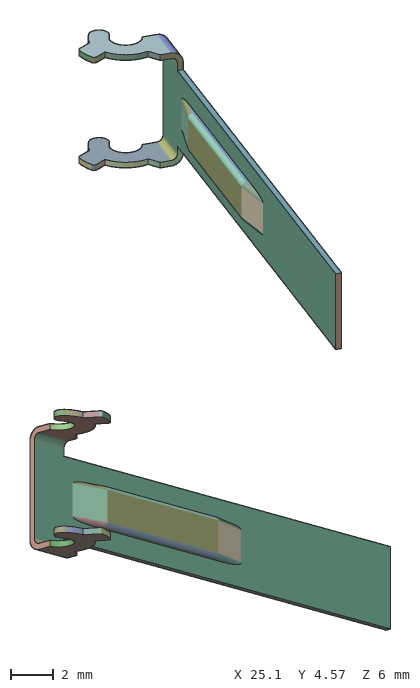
import cadquery as cq
import math

length = 25.1
height = 6.0
thickness = 0.3
bend_radius = 0.6
strip_height = 4.02
head_left = 1.38
head_right = 3.36

hook_x = 1.15
hook_y = -2.08
hook_inner = 0.78
hook_outer = 1.75
toe_reach = 2.54
toe_angle = math.radians(-58)
toe_left_offset = 1.0
toe_right_offset = 0.15
toe_round = 0.18
shoulder_y = -1.15
neck_angle = math.radians(17)

bead_left = 3.95
bead_right = 15.17
bead_ramp = 1.93
bead_rise = 0.38
bead_height = 2.03
bead_round = 0.23
bead_root = 0.03


def on_hook(radius, angle):
    """Point at a radius and angle around the hook centre."""
    return hook_x + radius * math.cos(angle), hook_y + radius * math.sin(angle)


def toe_side_angle(radius, offset):
    """Angle where a toe side, offset to the left of the centre, meets a circle."""
    return toe_angle - math.asin(offset / radius)


def make_head():
    """U-shaped section extruded across the head."""
    depth = -hook_y + toe_reach
    channel = (
        cq.Workplane("XY")
        .box(head_right - head_left, depth, height, centered=(False, False, True))
        .translate((head_left, -depth, 0))
        .edges("|X and >Y")
        .fillet(bend_radius)
    )
    cavity = (
        cq.Workplane("XY")
        .box(head_right - head_left, depth, height - 2 * thickness, centered=(False, False, True))
        .translate((head_left, -depth - thickness, 0))
        .edges("|X and >Y")
        .fillet(bend_radius - thickness)
    )
    bend_zone = cq.Workplane("XY").box(length, 2 * bend_radius, height)
    return channel.cut(cavity).intersect(bend_zone)


def make_ear(bottom):
    """One flat hooked ear, starting at the end of the bend."""
    tip_radius = (hook_outer - hook_inner) / 2
    band_radius = (hook_outer + hook_inner) / 2
    tip_angle = -math.acos((tip_radius - hook_x) / band_radius)
    tip_x, tip_y = on_hook(band_radius, tip_angle)
    tip_end = (tip_x + tip_radius * math.cos(tip_angle - math.pi / 2),
               tip_y + tip_radius * math.sin(tip_angle - math.pi / 2))

    mouth_angle = math.acos((head_left - hook_x) / hook_inner)
    toe_left_inner = toe_side_angle(hook_outer, toe_left_offset)
    toe_left_outer = toe_side_angle(toe_reach, toe_left_offset)
    toe_right_inner = toe_side_angle(hook_outer, -toe_right_offset)
    toe_right_outer = toe_side_angle(toe_reach, -toe_right_offset)

    ear = (
        cq.Workplane("XY", origin=(0, 0, bottom))
        .moveTo(head_left, -bend_radius)
        .lineTo(*on_hook(hook_inner, mouth_angle))
        .threePointArc(on_hook(hook_inner, (mouth_angle + tip_angle) / 2), on_hook(hook_inner, tip_angle))
        .threePointArc(tip_end, on_hook(hook_outer, tip_angle))
        .threePointArc(on_hook(hook_outer, (tip_angle + toe_left_inner) / 2),
                       on_hook(hook_outer, toe_left_inner))
        .lineTo(*on_hook(toe_reach, toe_left_outer))
        .threePointArc(on_hook(toe_reach, (toe_left_outer + toe_right_outer) / 2),
                       on_hook(toe_reach, toe_right_outer))
        .lineTo(*on_hook(hook_outer, toe_right_inner))
        .threePointArc(on_hook(hook_outer, (toe_right_inner + neck_angle) / 2),
                       on_hook(hook_outer, neck_angle))
        .lineTo(head_right, shoulder_y)
        .lineTo(head_right, -bend_radius)
        .close()
        .extrude(thickness)
    )
    for angle in (toe_left_outer, toe_right_outer):
        corner = on_hook(toe_reach, angle)
        ear = ear.edges(cq.NearestToPointSelector((*corner, bottom + thickness / 2))).fillet(toe_round)
    return ear


def make_strip():
    """Long flat strip running from the head to the free end."""
    return (
        cq.Workplane("XY")
        .box(length - head_left, thickness, strip_height, centered=(False, False, True))
        .translate((head_left, -thickness, 0))
    )


def make_bead():
    """Raised bead with sloped ends and rounded long edges."""
    root_run = bead_root * bead_ramp / bead_rise
    root_y = -thickness + bead_root
    crest_y = -thickness - bead_rise
    bead = (
        cq.Workplane("XY", origin=(0, 0, -bead_height / 2))
        .moveTo(bead_left - root_run, 0)
        .lineTo(bead_left - root_run, root_y)
        .lineTo(bead_left + bead_ramp, crest_y)
        .lineTo(bead_right - bead_ramp, crest_y)
        .lineTo(bead_right + root_run, root_y)
        .lineTo(bead_right + root_run, 0)
        .close()
        .extrude(bead_height)
    )
    crest_edges = bead.faces("<Y or (not(|X or |Y or |Z))").edges("not(|Z)")
    return crest_edges.fillet(bead_round)


result = make_strip().union(make_head()).union(make_bead())
for ear_bottom in (-height / 2, height / 2 - thickness):
    result = result.union(make_ear(ear_bottom))